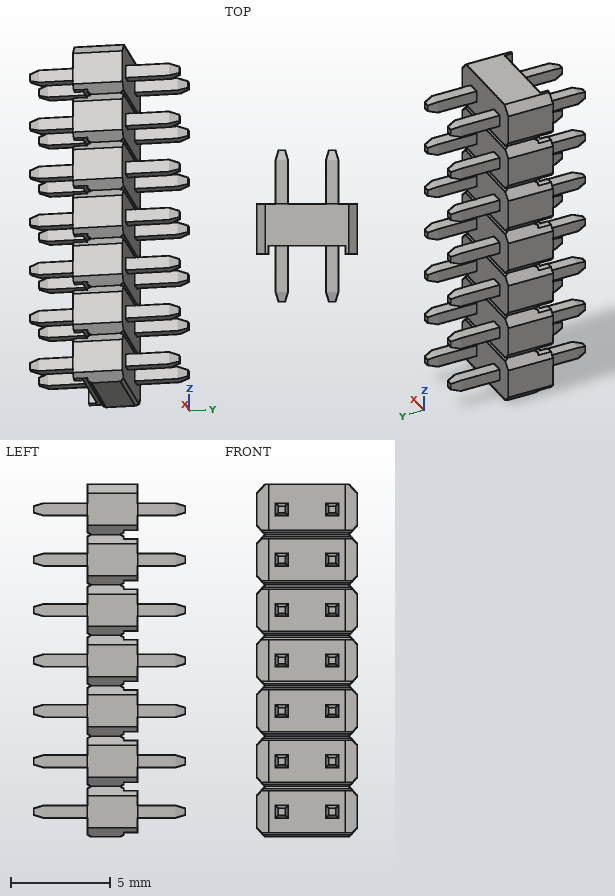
import cadquery as cq

LENGTH = 17.78
ROWS = 7
COLUMNS = 2
PITCH = LENGTH / ROWS

BODY_WIDTH = COLUMNS * PITCH
BODY_DEPTH = PITCH
CHAMFER_WIDTH = 0.43
CHAMFER_HEIGHT = 0.46
SIDE_WALL = 0.6
RECESS_DEPTH = 0.43

NOTCH_DEPTH = 0.7
NOTCH_HALF_HEIGHT = 0.21
BEVEL_DEPTH = 0.18
BEVEL_HALF_HEIGHT = 0.1

PIN_SIZE = 0.64
TIP_SIZE = 0.34
TIP_LENGTH = 0.5
FRONT_PIN_LENGTH = 2.4
REAR_PIN_LENGTH = 2.7

FRONT_Y = -BODY_DEPTH / 2
REAR_Y = BODY_DEPTH / 2


def centred_positions(count):
    """Pitch positions of count items, symmetric about zero."""
    return [(i - (count - 1) / 2) * PITCH for i in range(count)]


def housing_row(z):
    """One housing block: an octagonal XZ outline extruded along Y."""
    half_width = BODY_WIDTH / 2
    half_height = PITCH / 2
    flat_x = half_width - CHAMFER_WIDTH
    flat_z = half_height - CHAMFER_HEIGHT
    outline = [
        (-flat_x, -half_height),
        (flat_x, -half_height),
        (half_width, -flat_z),
        (half_width, flat_z),
        (flat_x, half_height),
        (-flat_x, half_height),
        (-half_width, flat_z),
        (-half_width, -flat_z),
    ]
    block = cq.Workplane("XZ").polyline(outline).close().extrude(BODY_DEPTH / 2, both=True)
    return block.translate((0, 0, z))


def front_recess():
    """Shallow channel along the whole front face, leaving a wall on each side."""
    channel = cq.Workplane("XY").box(BODY_WIDTH - 2 * SIDE_WALL, RECESS_DEPTH, LENGTH)
    return channel.translate((0, FRONT_Y + RECESS_DEPTH / 2, 0))


def extrude_across(points):
    """Extrude a closed YZ outline across the full housing width."""
    return cq.Workplane("YZ").polyline(points).close().extrude(BODY_WIDTH / 2, both=True)


def break_groove(z):
    """Front notch with a V-shaped floor, and a V groove in the rear face."""
    floor_y = FRONT_Y + NOTCH_DEPTH
    front = extrude_across([
        (FRONT_Y, z - NOTCH_HALF_HEIGHT),
        (floor_y, z - NOTCH_HALF_HEIGHT),
        (floor_y, z - BEVEL_HALF_HEIGHT),
        (floor_y + BEVEL_DEPTH, z),
        (floor_y, z + BEVEL_HALF_HEIGHT),
        (floor_y, z + NOTCH_HALF_HEIGHT),
        (FRONT_Y, z + NOTCH_HALF_HEIGHT),
    ])
    rear = extrude_across([
        (REAR_Y, z - BEVEL_HALF_HEIGHT),
        (REAR_Y - BEVEL_DEPTH, z),
        (REAR_Y, z + BEVEL_HALF_HEIGHT),
    ])
    return front.union(rear)


def tapered_pin_half(length, direction):
    """Square pin from the housing centre outwards, ending in a tapered tip."""
    shank_length = BODY_DEPTH / 2 + length - TIP_LENGTH
    plane = cq.Plane(origin=(0, 0, 0), xDir=(1, 0, 0), normal=(0, direction, 0))
    shank = cq.Workplane(plane).rect(PIN_SIZE, PIN_SIZE).extrude(shank_length)
    tip = (
        cq.Workplane(plane)
        .workplane(offset=shank_length)
        .rect(PIN_SIZE, PIN_SIZE)
        .workplane(offset=TIP_LENGTH)
        .rect(TIP_SIZE, TIP_SIZE)
        .loft(ruled=True)
    )
    return shank.union(tip)


row_heights = centred_positions(ROWS)

result = housing_row(row_heights[0])
for row_z in row_heights[1:]:
    result = result.union(housing_row(row_z))
result = result.cut(front_recess())

for row_z in row_heights:
    result = result.cut(break_groove(row_z - PITCH / 2))

pin = tapered_pin_half(FRONT_PIN_LENGTH, -1).union(tapered_pin_half(REAR_PIN_LENGTH, 1))
for row_z in row_heights:
    for column_x in centred_positions(COLUMNS):
        result = result.union(pin.translate((column_x, 0, row_z)))